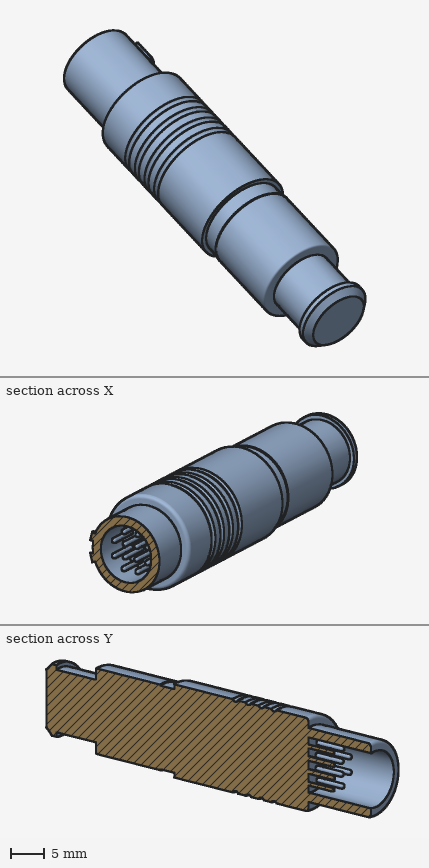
import cadquery as cq
import math

x_nose = 0.0
x_collar = 12.0
x_neck = 37.9
x_sleeve = 40.5
x_tail = 53.0
x_flange = 60.5
x_end = 62.5

nose_radius = 6.0
body_radius = 7.5
neck_radius = 6.75
sleeve_radius = 6.9
tail_radius = 5.1
flange_radius = 5.8

front_fillet = 0.6
sleeve_fillet = 0.3
end_chamfer = 1.1

groove_count = 4
groove_pitch = 2.47
first_groove_centre = 18.68
groove_width = 1.0
groove_depth = 0.3

bore_radius = 4.45
bore_depth = x_collar
pin_radius = 0.4
pin_length = 5.0
outer_pin_count = 8
outer_pin_circle = 3.2
inner_pin_count = 4
inner_pin_circle = 1.45

key_start = 2.65
key_length = 3.65
key_tip_radius = 6.5
key_root_radius = 5.5
key_offset_angle = 15.5
key_span_angle = 13.0


def cylinder(x_start, x_stop, radius):
    return cq.Workplane("YZ", origin=(x_start, 0, 0)).circle(radius).extrude(x_stop - x_start)


def rounded_front(x_start, x_stop, radius):
    return cylinder(x_start, x_stop, radius).faces("<X").edges().fillet(front_fillet)


def make_sleeve():
    sleeve = cylinder(x_sleeve, x_tail, sleeve_radius)
    return sleeve.faces(">X").edges().fillet(sleeve_fillet)


def make_shell():
    shell = rounded_front(x_nose, x_neck, nose_radius)
    shell = shell.union(rounded_front(x_collar, x_neck, body_radius))
    shell = shell.union(cylinder(x_neck, x_sleeve, neck_radius))
    shell = shell.union(make_sleeve())
    shell = shell.union(cylinder(x_tail, x_flange, tail_radius))
    flange = cylinder(x_flange, x_end, flange_radius).faces(">X").edges().chamfer(end_chamfer)
    return shell.union(flange)


def groove_cutter(x_centre):
    half_width = groove_width / 2
    return (
        cq.Workplane("XY")
        .moveTo(x_centre - half_width, body_radius)
        .threePointArc((x_centre, body_radius - groove_depth), (x_centre + half_width, body_radius))
        .close()
        .revolve(360, (0, 0, 0), (1, 0, 0))
    )


def polar_point(radius, angle):
    """Point in the YZ plane, with the angle in degrees measured from +Y toward +Z."""
    return radius * math.cos(math.radians(angle)), radius * math.sin(math.radians(angle))


def make_key(centre_angle):
    low = centre_angle - key_span_angle / 2
    high = centre_angle + key_span_angle / 2
    return (
        cq.Workplane("YZ", origin=(key_start, 0, 0))
        .moveTo(*polar_point(key_root_radius, low))
        .lineTo(*polar_point(key_tip_radius, low))
        .threePointArc(polar_point(key_tip_radius, centre_angle), polar_point(key_tip_radius, high))
        .lineTo(*polar_point(key_root_radius, high))
        .close()
        .extrude(key_length)
    )


def make_pin(y, z):
    """Contact pin standing on the socket floor, with a hemispherical tip."""
    tip_centre = bore_depth - pin_length + pin_radius
    shank = cq.Workplane("YZ", origin=(tip_centre, y, z)).circle(pin_radius).extrude(pin_length)
    tip = cq.Workplane("XY", origin=(tip_centre, y, z)).sphere(pin_radius)
    return shank.union(tip)


def pin_ring(count, circle_radius):
    """Centres of equally spaced pins, straddling the Y and Z axes."""
    step = 360 / count
    return [polar_point(circle_radius, (i + 0.5) * step) for i in range(count)]


result = make_shell()

for i in range(groove_count):
    result = result.cut(groove_cutter(first_groove_centre + i * groove_pitch))

for side in (1, -1):
    result = result.union(make_key(side * key_offset_angle))

result = result.cut(cylinder(x_nose, bore_depth, bore_radius))

pin_centres = pin_ring(outer_pin_count, outer_pin_circle) + pin_ring(inner_pin_count, inner_pin_circle)
for y, z in pin_centres:
    result = result.union(make_pin(y, z))